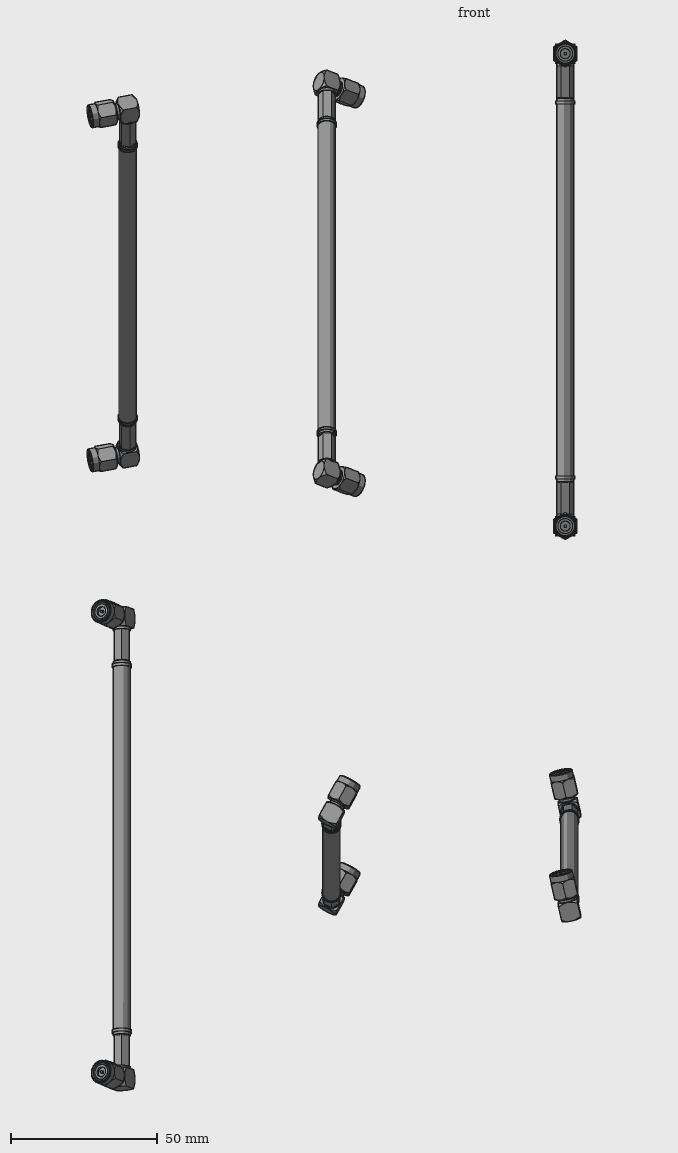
import cadquery as cq
import math

total_length = 170.1

nut_across_flats = 8.0
nut_across_corners = nut_across_flats / math.cos(math.pi / 6)
nut_turn_angle = 30
nut_back_gap = 0.9
nut_boss_diameter = 5.5
nut_boss_length = 0.5
nut_hex_length = 6.3
nut_corner_angle = 45
nut_rim_length = 2.4
nut_rim_chamfer = 0.25
nut_bore_radius = 3.2
nut_bore_chamfer = 0.3
nut_back_wall = 1.7

block_size = 6.6
block_corner_angle = 35
stub_diameter = 6.0
stub_length = 0.9
sleeve_radius = 2.5
sleeve_recess = 0.3
socket_radius = 1.7
socket_depth = 0.9
pin_radius = 0.45

crimp_across_flats = 5.1
crimp_across_corners = crimp_across_flats / math.cos(math.pi / 6)
crimp_hex_length = 10.7
skirt_diameter = 6.0
skirt_length = 1.2
skirt_chamfer = 0.3
flange_diameter = 6.6
flange_length = 1.0

cable_diameter = 6.0

plug_height = total_length / 2 - nut_across_corners / 2
block_front = -block_size / 2
nut_back = block_front - nut_back_gap
hex_back = nut_back - nut_boss_length
hex_front = hex_back - nut_hex_length
nut_front = hex_front - nut_rim_length
stub_end = plug_height - block_size / 2 - stub_length
ferrule_length = crimp_hex_length + skirt_length + flange_length
cable_end = stub_end - ferrule_length


def cylinder_toward_nut(start_y, end_y, radius):
    """Cylinder on the plug axis from start_y to end_y, running towards -Y."""
    plane = cq.Workplane("XZ", origin=(0, start_y, plug_height))
    return plane.circle(radius).extrude(start_y - end_y)


def turned_blank(start_y, end_y, end_radius, cone_angle):
    """Barrel on the plug axis that trims a prism's corners; cone_angle in degrees is from the end face."""
    half_length = (start_y - end_y) / 2
    middle_radius = end_radius + half_length / math.tan(math.radians(cone_angle))
    return (
        cq.Workplane("XY", origin=(0, 0, plug_height))
        .moveTo(0, start_y)
        .lineTo(end_radius, start_y)
        .lineTo(middle_radius, start_y - half_length)
        .lineTo(end_radius, end_y)
        .lineTo(0, end_y)
        .close()
        .revolve(360, (0, 0, 0), (0, 1, 0))
    )


def make_elbow():
    half_block = block_size / 2
    block = (
        cq.Workplane("XY", origin=(0, 0, plug_height))
        .box(block_size, block_size, block_size)
        .intersect(turned_blank(half_block, -half_block, half_block, block_corner_angle))
    )
    stub_plane = cq.Workplane("XY", origin=(0, 0, stub_end))
    stub = stub_plane.circle(stub_diameter / 2).extrude(half_block + stub_length)

    sleeve_end = nut_front + sleeve_recess
    sleeve = cylinder_toward_nut(0, sleeve_end, sleeve_radius)
    socket = cylinder_toward_nut(sleeve_end + socket_depth, sleeve_end, socket_radius)
    pin = cylinder_toward_nut(0, sleeve_end, pin_radius)
    return block.union(stub).union(sleeve).cut(socket).union(pin)


def make_nut():
    hexagon = (
        cq.Workplane("XZ", origin=(0, hex_back, plug_height))
        .polygon(6, nut_across_corners)
        .extrude(nut_hex_length)
        .rotate((0, 0, plug_height), (0, 1, plug_height), nut_turn_angle)
        .intersect(turned_blank(hex_back, hex_front, nut_across_flats / 2, nut_corner_angle))
    )
    boss = cylinder_toward_nut(nut_back, hex_front, nut_boss_diameter / 2)
    rim = cylinder_toward_nut(hex_front, nut_front, nut_across_flats / 2).faces("<Y").chamfer(nut_rim_chamfer)
    bore = cylinder_toward_nut(nut_back - nut_back_wall, nut_front, nut_bore_radius)
    sleeve_hole = cylinder_toward_nut(nut_back, nut_front, sleeve_radius)
    nut = hexagon.union(boss).union(rim).cut(bore).cut(sleeve_hole)
    smallest_circle = cq.selectors.RadiusNthSelector(0)
    return nut.faces("<Y").edges(smallest_circle).chamfer(nut_bore_chamfer)


def make_ferrule():
    flange = cq.Workplane("XY", origin=(0, 0, cable_end)).circle(flange_diameter / 2).extrude(flange_length)
    skirt = (
        cq.Workplane("XY", origin=(0, 0, cable_end + flange_length))
        .circle(skirt_diameter / 2)
        .extrude(skirt_length)
        .faces(">Z")
        .chamfer(skirt_chamfer)
    )
    crimp_start = cable_end + flange_length + skirt_length - skirt_chamfer
    hexagon = (
        cq.Workplane("XY", origin=(0, 0, crimp_start))
        .polygon(6, crimp_across_corners)
        .extrude(crimp_hex_length + skirt_chamfer)
    )
    return flange.union(skirt).union(hexagon)


def make_cable():
    return cq.Workplane("XY", origin=(0, 0, -cable_end)).circle(cable_diameter / 2).extrude(2 * cable_end)


bodies = [make_cable().val()]
for make_body in (make_elbow, make_nut, make_ferrule):
    upper = make_body()
    lower = upper.mirror("XY")
    bodies += [upper.val(), lower.val()]

result = cq.Compound.makeCompound(bodies)